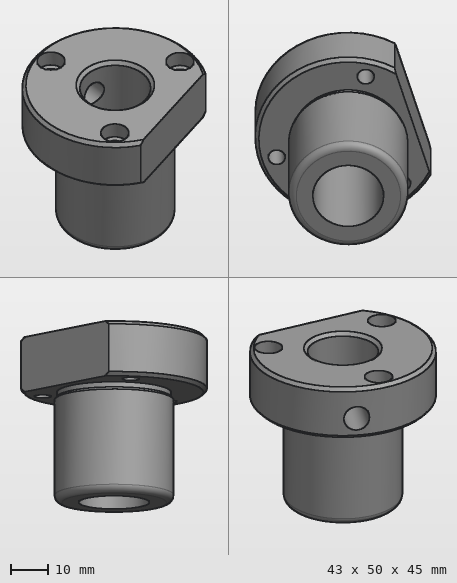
import cadquery as cq
import math

flange_diameter = 49.95
flange_thickness = 15.0
flat_distance = 18.05
flange_chamfer = 1.0

total_height = 45.0
sleeve_diameter = 31.95
sleeve_end_fillet = 2.0
neck_diameter = 30.65
neck_height = 1.4
neck_taper_height = 0.7

bore_diameter = 19.0
bore_chamfer = 1.0

bolt_circle_radius = 20.0
bolt_angles = (60, 180, 300)
bolt_hole_diameter = 4.5
counterbore_diameter = 7.5
counterbore_depth = 4.5

port_diameter = 6.95
port_angle = 160
port_depth_below_top = 9.0

flange_bottom = total_height - flange_thickness


def make_flange():
    flange = (
        cq.Workplane("XY")
        .workplane(offset=flange_bottom)
        .circle(flange_diameter / 2)
        .extrude(flange_thickness)
        .edges()
        .chamfer(flange_chamfer)
    )
    beyond_flat = (
        cq.Workplane("XY")
        .box(flange_diameter, flange_diameter, total_height, centered=(False, True, False))
        .translate((flat_distance, 0, 0))
    )
    return flange.cut(beyond_flat)


def make_sleeve():
    sleeve_radius = sleeve_diameter / 2
    neck_radius = neck_diameter / 2
    neck_bottom = flange_bottom - neck_height
    sleeve_top = neck_bottom - neck_taper_height
    profile = [
        (0, 0),
        (sleeve_radius, 0),
        (sleeve_radius, sleeve_top),
        (neck_radius, neck_bottom),
        (neck_radius, flange_bottom),
        (0, flange_bottom),
    ]
    sleeve = cq.Workplane("XZ").polyline(profile).close().revolve(360, (0, 0), (0, 1))
    return sleeve.faces("<Z").edges().fillet(sleeve_end_fillet)


def cut_bore(body):
    bored = body.faces(">Z").workplane(origin=(0, 0, total_height)).hole(bore_diameter)
    return bored.faces(">Z").edges(cq.selectors.RadiusNthSelector(0)).chamfer(bore_chamfer)


def cut_mounting_holes(body):
    centres = [
        (
            bolt_circle_radius * math.cos(math.radians(angle)),
            bolt_circle_radius * math.sin(math.radians(angle)),
        )
        for angle in bolt_angles
    ]
    return (
        body.faces(">Z")
        .workplane(origin=(0, 0, total_height))
        .pushPoints(centres)
        .cboreHole(bolt_hole_diameter, counterbore_diameter, counterbore_depth)
    )


def cut_port(body):
    port = (
        cq.Workplane("YZ")
        .circle(port_diameter / 2)
        .extrude(flange_diameter)
        .rotate((0, 0, 0), (0, 0, 1), port_angle)
        .translate((0, 0, total_height - port_depth_below_top))
    )
    return body.cut(port)


result = make_flange().union(make_sleeve())
result = cut_bore(result)
result = cut_mounting_holes(result)
result = cut_port(result)